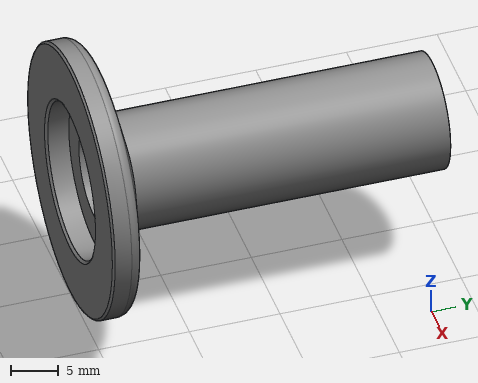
import cadquery as cq
import math

total_length = 40.0
flange_diameter = 30.0
tube_diameter = 12.7
bore_diameter = 10.2

cone_angle = 15.0
cone_end = 5.3
rim_chamfer = 0.25
shoulder_radius = 1.2

recess_diameter = 17.2
recess_depth = 2.6
recess_chamfer = 0.3

flange_radius = flange_diameter / 2
tube_radius = tube_diameter / 2
cone_rise = (flange_radius - tube_radius) * math.tan(math.radians(cone_angle))
rim_width = cone_end - cone_rise

turn_angle = math.radians(90 - cone_angle)
tangent_length = shoulder_radius * math.tan(turn_angle / 2)
arc_start_y = rim_width - tangent_length
arc_center_radius = flange_radius - shoulder_radius


def shoulder_point(angle):
    """Point on the shoulder arc, with angle measured from the rim."""
    return (
        arc_center_radius + shoulder_radius * math.cos(angle),
        arc_start_y + shoulder_radius * math.sin(angle),
    )


def make_body():
    """Solid flange and tube, revolved about the Y axis."""
    return (
        cq.Workplane("XY")
        .lineTo(flange_radius - rim_chamfer, 0)
        .lineTo(flange_radius, rim_chamfer)
        .lineTo(flange_radius, arc_start_y)
        .threePointArc(shoulder_point(turn_angle / 2), shoulder_point(turn_angle))
        .lineTo(tube_radius, cone_end)
        .lineTo(tube_radius, total_length)
        .lineTo(0, total_length)
        .close()
        .revolve(360, (0, 0, 0), (0, 1, 0))
    )


def make_cavity():
    """Through bore and chamfered recess, revolved about the Y axis."""
    bore_radius = bore_diameter / 2
    recess_radius = recess_diameter / 2
    return (
        cq.Workplane("XY")
        .lineTo(recess_radius + recess_chamfer, 0)
        .lineTo(recess_radius, recess_chamfer)
        .lineTo(recess_radius, recess_depth)
        .lineTo(bore_radius, recess_depth)
        .lineTo(bore_radius, total_length)
        .lineTo(0, total_length)
        .close()
        .revolve(360, (0, 0, 0), (0, 1, 0))
    )


result = make_body().cut(make_cavity())